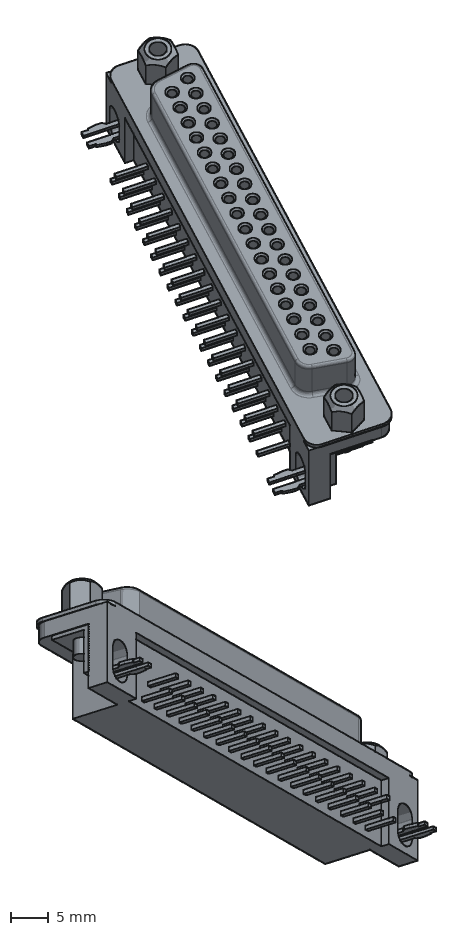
import cadquery as cq
import math


flange_length = 69.39
flange_width = 12.54
flange_thickness = 0.6
flange_corner_radius = 1.9
front_y = -flange_width / 2

body_length = 69.2
body_bottom_z = -12.43
ledge_back_y = 5.94
ledge_bottom_z = -2.98
ledge_corner_radius = 1.8
core_length = 56.3
core_back_y = 4.24
end_leg_thickness = 3.12
pocket_length = core_length
pocket_top_z = -2.75
pocket_depth = 1.25

shell_width = 7.98
shell_mid_half_length = 26.77
shell_side_angle = 10
shell_height = 5.83
shell_back_radius = 1.4
shell_front_radius = 2.0
shell_top_fillet = 0.45
shell_base_fillet = 0.6

pitch = 2.77
row_spacing = 2.84
back_row_count = 19
front_row_count = 18
socket_mouth_diameter = 1.85
socket_bore_diameter = 1.3
socket_mouth_depth = 0.3
socket_depth = 5.0
pin_size = 0.6
pin_end_y = -9.6
upper_pin_z = -8.27
lower_pin_z = -11.0
pin_embed = 0.5

screw_spacing = 63.5
nut_across_flats = 4.68
nut_height = 4.78
nut_top_diameter = 3.6
nut_chamfer_slope = 0.9
nut_bore_diameter = 2.35
nut_bore_depth = 4.5
stud_diameter = 2.4
stud_bottom_z = -5.97

slot_width = 3.2
slot_top_z = -5.2
slot_bottom_z = -11.3
lock_width = 5.4
lock_plate_thickness = 0.6
lock_leg_thickness = 0.87
lock_back_y = 2.98
lock_bottom_z = -9.9
lock_prong_thickness = 0.5
lock_gap = 1.2
lock_gap_top_z = -5.0
prong_root_half_width = 1.3
prong_barb_half_width = 1.7
prong_taper_half_width = 1.5
barb_start_y = -6.9
barb_front_y = -7.4
barb_rear_y = -8.2
taper_end_y = -9.5
prong_tip_y = -10.49

screw_positions = [-screw_spacing / 2, screw_spacing / 2]


def block(x_size, y_min, y_max, z_min, z_max):
    """Box centred on X = 0, given by its Y and Z limits."""
    return cq.Workplane("XY").box(x_size, y_max - y_min, z_max - z_min).translate(
        (0, (y_min + y_max) / 2, (z_min + z_max) / 2)
    )


def make_flange():
    plate = block(flange_length, front_y, -front_y, -flange_thickness, 0)
    return plate.edges("|Z").fillet(flange_corner_radius)


def make_body():
    ledge = block(body_length, front_y, ledge_back_y, ledge_bottom_z, -flange_thickness)
    ledge = ledge.edges("|Z and >Y").fillet(ledge_corner_radius)
    core = block(core_length, front_y, core_back_y, body_bottom_z, ledge_bottom_z)
    front_wall = block(
        body_length, front_y, front_y + end_leg_thickness, body_bottom_z, -flange_thickness
    )
    pocket = block(
        pocket_length, front_y, front_y + pocket_depth, body_bottom_z, pocket_top_z
    )
    return ledge.union(core).union(front_wall).cut(pocket)


def make_slot(x):
    """Round-ended opening through an end leg for the board lock prongs."""
    slot = (
        cq.Workplane("XZ")
        .center(x, (slot_top_z + slot_bottom_z) / 2)
        .slot2D(slot_top_z - slot_bottom_z, slot_width, 90)
        .extrude(end_leg_thickness)
    )
    return slot.translate((0, front_y + end_leg_thickness, 0))


def make_shell():
    half_width = shell_width / 2
    taper = half_width * math.tan(math.radians(shell_side_angle))
    back_x = shell_mid_half_length + taper
    front_x = shell_mid_half_length - taper
    shell = (
        cq.Workplane("XY")
        .polyline(
            [
                (-front_x, -half_width),
                (front_x, -half_width),
                (back_x, half_width),
                (-back_x, half_width),
            ]
        )
        .close()
        .extrude(shell_height)
    )
    shell = shell.edges("|Z and >Y").fillet(shell_back_radius)
    shell = shell.edges("|Z and <Y").fillet(shell_front_radius)
    return shell.faces(">Z").edges().fillet(shell_top_fillet)


def row_positions(count):
    """X positions of a contact row centred on the connector."""
    return [(i - (count - 1) / 2) * pitch for i in range(count)]


def make_sockets():
    """Solids to remove for the countersunk contact holes."""
    points = [(x, row_spacing / 2) for x in row_positions(back_row_count)]
    points += [(x, -row_spacing / 2) for x in row_positions(front_row_count)]
    mouth = cq.Solid.makeCone(
        socket_bore_diameter / 2,
        socket_mouth_diameter / 2,
        socket_mouth_depth,
        pnt=cq.Vector(0, 0, shell_height - socket_mouth_depth),
    )
    bore = cq.Solid.makeCylinder(
        socket_bore_diameter / 2,
        socket_depth,
        pnt=cq.Vector(0, 0, shell_height - socket_depth),
    )
    hole = mouth.fuse(bore)
    return cq.Workplane("XY").pushPoints(points).eachpoint(lambda place: hole.moved(place))


def make_pin_row(count, z):
    pocket_floor_y = front_y + pocket_depth
    return (
        cq.Workplane("XZ", origin=(0, pocket_floor_y + pin_embed, z))
        .pushPoints([(x, 0) for x in row_positions(count)])
        .rect(pin_size, pin_size)
        .extrude(pocket_floor_y + pin_embed - pin_end_y)
    )


def make_jackscrew(x):
    """Chamfered hexagonal nut above the flange with a plain stud below it."""
    across_corners = nut_across_flats / math.cos(math.radians(30))
    hexagon = cq.Workplane("XY").polygon(6, across_corners).extrude(nut_height)
    top_radius = nut_top_diameter / 2
    base_radius = top_radius + nut_height / nut_chamfer_slope
    cone = cq.Workplane("XY").add(
        cq.Solid.makeCone(base_radius, top_radius, nut_height)
    )
    bore = (
        cq.Workplane("XY")
        .workplane(offset=nut_height)
        .circle(nut_bore_diameter / 2)
        .extrude(-nut_bore_depth)
    )
    stud = cq.Workplane("XY").circle(stud_diameter / 2).extrude(stud_bottom_z)
    return hexagon.intersect(cone).cut(bore).union(stud).translate((x, 0, 0))


def make_board_lock(x):
    """Bent metal strip: plate under the ledge, forked leg and two barbed prongs."""
    leg_front_y = front_y + end_leg_thickness
    leg_back_y = leg_front_y + lock_leg_thickness
    plate_bottom_z = ledge_bottom_z - lock_plate_thickness
    plate = block(lock_width, leg_front_y, lock_back_y, plate_bottom_z, ledge_bottom_z)
    leg = block(lock_width, leg_front_y, leg_back_y, lock_bottom_z, ledge_bottom_z)
    prong_outline = [
        (lock_gap / 2, leg_back_y),
        (prong_root_half_width, leg_back_y),
        (prong_root_half_width, barb_start_y),
        (prong_barb_half_width, barb_front_y),
        (prong_barb_half_width, barb_rear_y),
        (prong_taper_half_width, taper_end_y),
        (prong_root_half_width, taper_end_y),
        (prong_root_half_width, prong_tip_y),
        (lock_gap / 2, prong_tip_y),
    ]
    prong = (
        cq.Workplane("XY")
        .workplane(offset=lock_bottom_z)
        .polyline(prong_outline)
        .close()
        .extrude(lock_prong_thickness)
    )
    gap = block(lock_gap, leg_front_y, leg_back_y, lock_bottom_z, lock_gap_top_z)
    lock = plate.union(leg).cut(gap).union(prong).union(prong.mirror("YZ"))
    return lock.translate((x, 0, 0))


housing = make_flange().union(make_shell())
foot_x = flange_length / 2 - flange_corner_radius
foot_y = flange_width / 2 - flange_corner_radius
foot_z = flange_thickness / 2
shell_foot = cq.selectors.BoxSelector(
    (-foot_x, -foot_y, -foot_z), (foot_x, foot_y, foot_z), boundingbox=True
)
housing = housing.edges(shell_foot).fillet(shell_base_fillet)
housing = housing.union(make_body()).cut(make_sockets())
housing = housing.union(make_pin_row(front_row_count, upper_pin_z))
housing = housing.union(make_pin_row(back_row_count, lower_pin_z))

for screw_x in screw_positions:
    housing = housing.cut(make_slot(screw_x))
    housing = housing.union(make_jackscrew(screw_x))
    housing = housing.union(make_board_lock(screw_x))

result = housing.clean().solids()